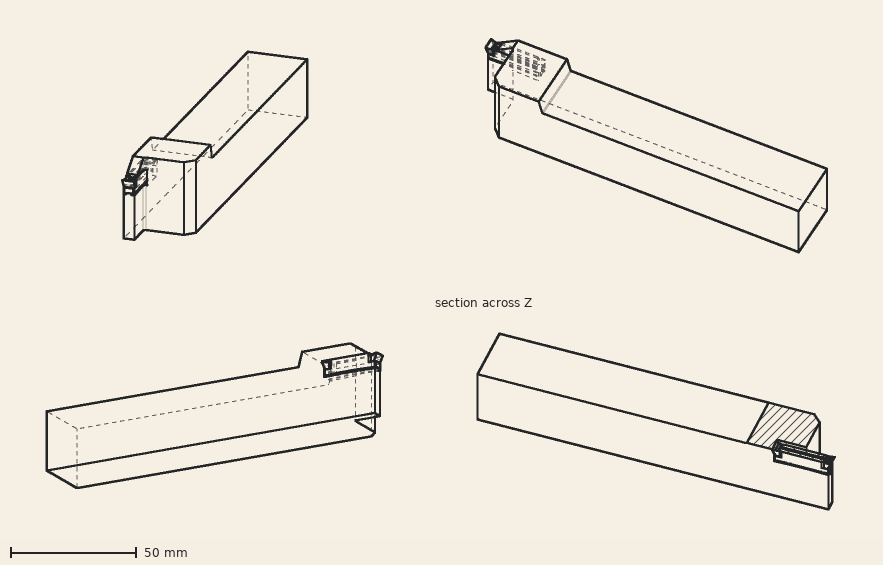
import cadquery as cq


tool_length = 150.0
shank_width = 25.0
shank_height = 24.9
head_height = 31.0
step_foot_y = 35.7
step_top_y = 34.0
step_fillet = 0.5
head_front_y = 12.6
head_chamfer = 3.8
blade_width = 4.5
blade_front_y = 1.0
blade_fillet = 0.9
slope_top_y = 12.2
jaw_tip_y = 5.1
jaw_tip_z = 26.3

insert_length = 24.9
insert_bottom_z = 18.9
insert_top_z = 25.7
body_width = blade_width
body_setback = 0.8
body_edge_chamfer = 0.5
bottom_arch_rise = 0.3

edge_z = 25.2
edge_overhang = 0.25
edge_width = body_width + 2 * edge_overhang
edge_land = 0.5
breaker_y = 2.3
breaker_depth = 0.5
neck_width = 3.9
neck_y = 3.0
nose_length = 3.9
nose_height = 3.3
flank_height = 2.0
flank_setback = body_setback
flank_foot_y = 1.5

pocket_depth = 5.9
groove_mouth = 3.0
bottom_groove_root = 1.5
top_groove_root = 0.8
groove_depth = 0.8
top_groove_start = 2.7

blade_center_x = blade_width / 2
insert_middle_y = insert_length / 2
body_rear_y = insert_length - body_setback
nose_bottom_z = edge_z - nose_height
flank_bottom_z = edge_z - flank_height


def side_prism(outline, x_start, x_end):
    """Extrude a closed (Y, Z) outline along X."""
    return outline.close().extrude(x_end - x_start).translate((x_start, 0, 0))


def arched_bottom():
    """Start an insert outline with its shallow arched underside, drawn from rear to front."""
    return (
        cq.Workplane("YZ")
        .moveTo(body_rear_y, insert_bottom_z)
        .threePointArc(
            (insert_middle_y, insert_bottom_z + bottom_arch_rise),
            (body_setback, insert_bottom_z),
        )
    )


def both_ends(front_points):
    """Complete the front half of a (Y, Z) outline with its mirror image at the rear end."""
    rear_points = [(insert_length - y, z) for y, z in reversed(front_points)]
    return front_points + rear_points


def locating_bar(tip_width, base_z, tip_z, y_start, y_end):
    """Trapezoidal bar along Y: a rib of the holder that fills a groove of the insert."""
    return (
        cq.Workplane("XZ", origin=(blade_center_x, y_start, 0))
        .polyline([
            (-groove_mouth / 2, base_z),
            (-tip_width / 2, tip_z),
            (tip_width / 2, tip_z),
            (groove_mouth / 2, base_z),
        ])
        .close()
        .extrude(y_start - y_end)
    )


def make_locating_bars():
    bottom_bar = locating_bar(
        bottom_groove_root,
        insert_bottom_z,
        insert_bottom_z + groove_depth,
        0,
        insert_length,
    )
    top_bar = locating_bar(
        top_groove_root,
        insert_top_z,
        insert_top_z - groove_depth,
        top_groove_start,
        insert_length - top_groove_start,
    )
    return bottom_bar.union(top_bar)


def make_pocket():
    """Seat cut from the flat side, shaped to the insert and clear of the locating ribs."""
    outline = arched_bottom().polyline(
        both_ends([
            (body_setback, insert_bottom_z),
            (body_setback, flank_bottom_z),
            (0, edge_z),
            (0, insert_top_z),
        ])[1:-1],
        includeCurrent=True,
    )
    pocket = side_prism(outline, -edge_overhang, pocket_depth)
    return pocket.cut(make_locating_bars())


def make_shank():
    outline = cq.Workplane("YZ").polyline([
        (head_front_y, 0),
        (tool_length, 0),
        (tool_length, shank_height),
        (step_foot_y, shank_height),
        (step_top_y, head_height),
        (head_front_y, head_height),
    ])
    shank = side_prism(outline, 0, shank_width)
    step_foot = cq.selectors.NearestToPointSelector((shank_width / 2, step_foot_y, shank_height))
    shank = shank.edges(step_foot).fillet(step_fillet)
    return shank.edges("|Z and >X and <Y").chamfer(head_chamfer)


def make_blade():
    outline = cq.Workplane("YZ").polyline([
        (blade_front_y, 0),
        (head_front_y, 0),
        (head_front_y, head_height),
        (slope_top_y, head_height),
        (jaw_tip_y, jaw_tip_z),
        (jaw_tip_y, nose_bottom_z),
        (blade_front_y, nose_bottom_z),
    ])
    return side_prism(outline, 0, blade_width)


def make_holder():
    holder = make_shank().union(make_blade())
    corner = cq.selectors.NearestToPointSelector((blade_width, head_front_y, head_height / 2))
    holder = holder.edges(corner).fillet(blade_fillet)
    return holder.cut(make_pocket())


def make_nose():
    """Front cutting nose: widest at the edge, necked behind it, then blending into the body."""
    outline = cq.Workplane("YZ").polyline([
        (0, edge_z),
        (flank_setback, flank_bottom_z),
        (flank_foot_y, nose_bottom_z),
        (nose_length, nose_bottom_z),
        (nose_length, insert_top_z),
        (breaker_y, edge_z - breaker_depth),
        (edge_land, edge_z),
    ])
    flank = side_prism(outline, blade_center_x - edge_width / 2, blade_center_x + edge_width / 2)
    plan = (
        cq.Workplane("XY", origin=(blade_center_x, 0, 0))
        .polyline([
            (-edge_width / 2, 0),
            (edge_width / 2, 0),
            (neck_width / 2, neck_y),
            (body_width / 2, nose_length),
            (-body_width / 2, nose_length),
            (-neck_width / 2, neck_y),
        ])
        .close()
        .extrude(head_height)
    )
    return flank.intersect(plan)


def make_insert_body():
    outline = arched_bottom().polyline(
        both_ends([
            (body_setback, insert_bottom_z),
            (body_setback, nose_bottom_z),
            (nose_length, nose_bottom_z),
            (nose_length, insert_top_z),
        ])[1:-1],
        includeCurrent=True,
    )
    body = side_prism(outline, 0, body_width)
    end_edges = body.faces("<Y or >Y").edges("|Z")
    bottom_edges = body.faces("%CYLINDER").edges("%CIRCLE")
    return body.newObject(end_edges.vals() + bottom_edges.vals()).chamfer(body_edge_chamfer)


def make_insert():
    front_nose = make_nose()
    rear_nose = front_nose.mirror("XZ").translate((0, insert_length, 0))
    insert = make_insert_body().union(front_nose).union(rear_nose)
    return insert.cut(make_locating_bars())


holder = make_holder()
insert = make_insert()

result = cq.Compound.makeCompound([holder.val(), insert.val()])